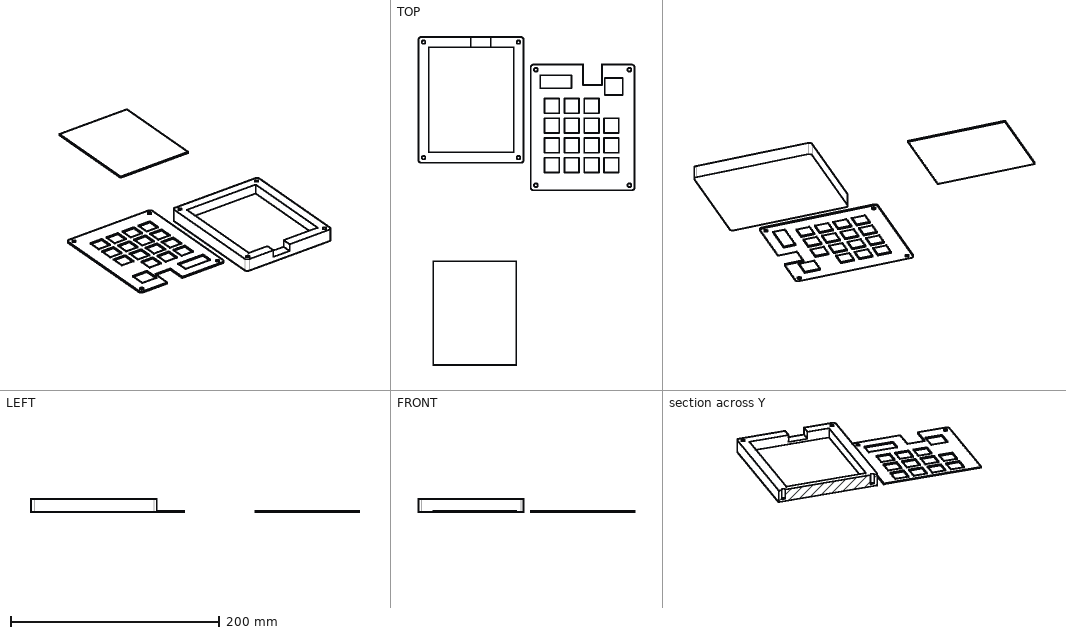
import cadquery as cq

total_width = 208.0
total_length = 315.5

case_width = 101.3
case_length = 121.0
case_height = 13.0
corner_radius = 3.0

wall = 9.8
front_wall = 10.0
floor_thickness = 3.0

case_notch_left = 50.2
case_notch_width = 19.2
notch_sill = 2.5

screw_hole_diameter = 3.5
screw_hole_inset = 5.0
case_hole_depth = case_height - floor_thickness

sheet_thickness = 1.5
plate_width = 100.0
plate_length = 121.0
plate_left = total_width - plate_width
plate_front = -26.5

plate_notch_left = 50.5
plate_notch_width = 18.0
plate_notch_depth = 19.5

keys_per_side = 4
key_size = 14.0
key_span = 57.0
key_pitch = key_span / (keys_per_side - 1)
first_key_x = 20.5
first_key_y = 24.3

display_left = 9.5
display_front = 98.5
display_width = 29.5
display_length = 12.3
knob_left = 71.3
knob_front = 91.8
knob_width = 17.0
knob_length = 16.0

sheet_width = 80.0
sheet_length = 100.0
sheet_left = 14.2
sheet_front = case_length - total_length


def block(left, front, bottom, width, length, height):
    """Box placed by its left, front, bottom corner."""
    return cq.Workplane().box(width, length, height, centered=False).translate((left, front, bottom))


def rounded_block(width, length, height):
    """Box at the origin with rounded upright edges."""
    return block(0, 0, 0, width, length, height).edges("|Z").fillet(corner_radius)


def corner_points(width, length):
    """Screw hole centres, set in from the corners of a rectangle."""
    columns = (screw_hole_inset, width - screw_hole_inset)
    rows = (screw_hole_inset, length - screw_hole_inset)
    return [(x, y) for x in columns for y in rows]


def drill_corners(body, width, length, height, depth):
    """Drill a screw hole down from the top at each corner."""
    drills = (
        cq.Workplane(origin=(0, 0, height))
        .pushPoints(corner_points(width, length))
        .circle(screw_hole_diameter / 2)
        .extrude(-depth)
    )
    return body.cut(drills)


def make_case():
    body = rounded_block(case_width, case_length, case_height)

    pocket = block(
        wall,
        front_wall,
        floor_thickness,
        case_width - 2 * wall,
        case_length - front_wall - wall,
        case_height,
    )
    body = body.cut(pocket)

    notch = block(
        case_notch_left,
        case_length - wall,
        floor_thickness + notch_sill,
        case_notch_width,
        wall,
        case_height,
    )
    body = body.cut(notch)

    return drill_corners(body, case_width, case_length, case_height, case_hole_depth)


def key_centres():
    """Key centres in rows from the front, without the back right key."""
    last = keys_per_side - 1
    return [
        (first_key_x + column * key_pitch, first_key_y + row * key_pitch)
        for row in range(keys_per_side)
        for column in range(keys_per_side)
        if (row, column) != (last, last)
    ]


def make_plate():
    body = rounded_block(plate_width, plate_length, sheet_thickness)

    keys = cq.Workplane().pushPoints(key_centres()).rect(key_size, key_size).extrude(sheet_thickness)
    body = body.cut(keys)

    display = block(display_left, display_front, 0, display_width, display_length, sheet_thickness)
    body = body.cut(display)

    knob = block(knob_left, knob_front, 0, knob_width, knob_length, sheet_thickness)
    body = body.cut(knob)

    notch_front = plate_length - plate_notch_depth
    notch = block(
        plate_notch_left, notch_front, 0, plate_notch_width, plate_notch_depth, sheet_thickness
    )
    body = body.cut(notch)

    body = drill_corners(body, plate_width, plate_length, sheet_thickness, sheet_thickness)
    return body.translate((plate_left, plate_front, 0))


def make_sheet():
    return block(sheet_left, sheet_front, 0, sheet_width, sheet_length, sheet_thickness)


case = make_case()
plate = make_plate()
sheet = make_sheet()

result = cq.Compound.makeCompound([case.val(), plate.val(), sheet.val()])